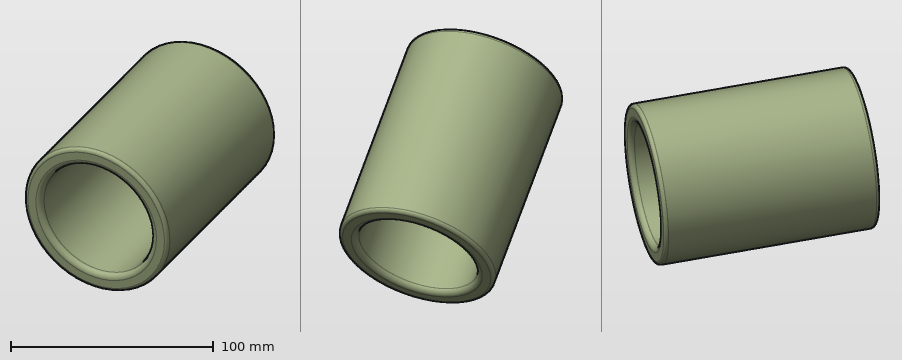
import cadquery as cq

length = 110.0
outer_diameter = 81.0
bore_diameter = 62.0
outer_edge_radius = 2.0
bore_edge_radius = 3.0


def cylinder_along_y(diameter):
    """Cylinder of the sleeve's full length, centred on the origin."""
    return cq.Workplane("XZ", origin=(0, length / 2, 0)).circle(diameter / 2).extrude(length)


def rounded_body():
    """Outer cylinder with both end rims rounded."""
    return cylinder_along_y(outer_diameter).faces("<Y or >Y").edges().fillet(outer_edge_radius)


def cut_bore(body):
    """Through bore with a rounded mouth at each end."""
    bored = body.cut(cylinder_along_y(bore_diameter))
    bore_mouths = bored.faces("<Y or >Y").edges(cq.selectors.RadiusNthSelector(0))
    return bore_mouths.fillet(bore_edge_radius)


result = cut_bore(rounded_body())